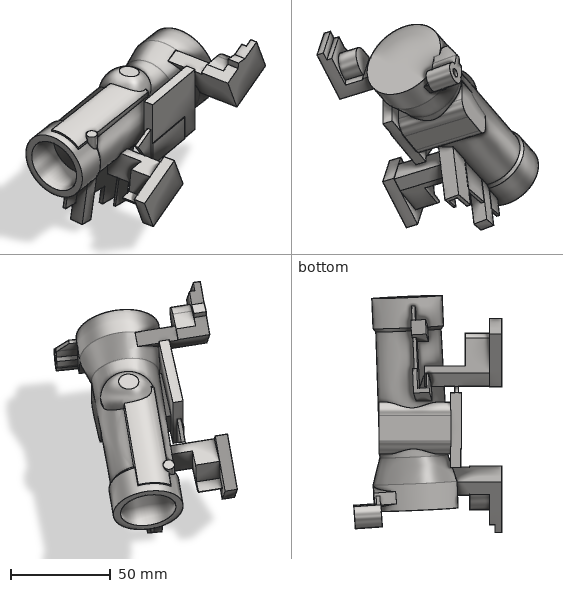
import cadquery as cq

YAW = 2.5
TUBE_RISE = 1.2
LEG_LEAN = 8.0
CLIP_YAW = 4.0

MOUTH_CENTRE = (26.8, 0.8, 44.0)
LEG_ORIGIN = (34.0, 52.8, 27.8)


def side_plane(frame):
    """Plane of a frame whose sketch axes are the frame's Y and Z and whose normal is its X."""
    return cq.Plane(origin=frame.origin, xDir=frame.yDir, normal=frame.xDir)


WORLD = cq.Plane.XY()
TUBE = cq.Plane.XY(MOUTH_CENTRE).rotated((TUBE_RISE, 0, -YAW))
LEGS = cq.Plane.XY(LEG_ORIGIN).rotated((-LEG_LEAN, YAW, -YAW))


def side_profile(points, x_start, x_end, frame=WORLD):
    """Prism with a (y, z) outline, running from x_start to x_end."""
    outline = cq.Workplane(side_plane(frame)).workplane(offset=x_start).polyline(points).close()
    return outline.extrude(x_end - x_start)


def block(x_range, y_range, z_range, frame=WORLD):
    """Box between the given limits of a frame."""
    (y0, y1), (z0, z1) = y_range, z_range
    return side_profile([(y0, z0), (y1, z0), (y1, z1), (y0, z1)], *x_range, frame)


RIM_RADIUS = 17.8
RIM_LENGTH = 15.1
RIM_BEVEL_END = 16.8
BARREL_FRONT_RADIUS = 16.5
BARREL_REAR_RADIUS = 17.2
BARREL_END = 80.1
BELL_START = 93.4
BELL_RADIUS = 21.1
TUBE_LENGTH = 106.9

BORE_RADIUS = 14.0
BORE_DEPTH = 18.1
BORE_TIP_DEPTH = 22.0


def tube_body():
    """Stepped round body: rim, tapered barrel, flare and rear bell."""
    return (
        cq.Workplane(TUBE)
        .polyline([
            (0, 0),
            (RIM_RADIUS, 0),
            (RIM_RADIUS, RIM_LENGTH),
            (BARREL_FRONT_RADIUS, RIM_BEVEL_END),
            (BARREL_REAR_RADIUS, BARREL_END),
            (BELL_RADIUS, BELL_START),
            (BELL_RADIUS, TUBE_LENGTH),
            (0, TUBE_LENGTH),
        ])
        .close()
        .revolve(360, (0, 0, 0), (0, 1, 0))
    )


def mouth_bore():
    """Blind bore in the mouth, ending in a shallow cone."""
    return (
        cq.Workplane(TUBE)
        .polyline([(0, 0), (BORE_RADIUS, 0), (BORE_RADIUS, BORE_DEPTH), (0, BORE_TIP_DEPTH)])
        .close()
        .revolve(360, (0, 0, 0), (0, 1, 0))
    )


STRIP_RADIUS = 18.7
STRIP_X = (-4.3, 12.2)
STRIP_Y = (4.3, 62.9)
STRIP_FLARE = 4.5

DOME_TOP = (29.0, 64.5, 66.0)
DOME_RADIUS = 13.9
DOME_CUT_HEIGHT = 13.0

PIN_CENTRE = (40.0, 14.9)
PIN_RADIUS = 2.9
PIN_TOP = 60.8
PIN_DEPTH = 9.5


def strip():
    """Raised strip along the top of the tube, curved around the tube axis."""
    length = STRIP_Y[1] - STRIP_Y[0]
    x_left, x_right = STRIP_X
    cross_plane = cq.Plane(origin=TUBE.origin, xDir=TUBE.xDir, normal=-TUBE.yDir)
    start = cq.Workplane(cross_plane).workplane(offset=-STRIP_Y[0])
    sector = [(x_left - STRIP_FLARE, 0), (x_right, 0), (x_right, STRIP_RADIUS), (x_left, STRIP_RADIUS)]
    round_bar = start.circle(STRIP_RADIUS).extrude(-length)
    return round_bar.intersect(start.polyline(sector).close().extrude(-length))


def dome():
    """Ball on top of the tube, cut off flat along the leaning axis."""
    frame = cq.Plane.XY(DOME_TOP).rotated((-LEG_LEAN, YAW, 0))
    ball = cq.Workplane(frame).workplane(offset=-DOME_CUT_HEIGHT).sphere(DOME_RADIUS)
    half = (-DOME_RADIUS, DOME_RADIUS)
    return ball.intersect(block(half, half, (-DOME_CUT_HEIGHT, 0), frame))


def pin():
    """Short round pin standing beside the strip."""
    return (
        cq.Workplane("XY", origin=(*PIN_CENTRE, PIN_TOP))
        .circle(PIN_RADIUS)
        .extrude(-PIN_DEPTH)
    )


SADDLE_X = (12.7, 48.8)
SADDLE_Y = (53.6, 79.7)
SADDLE_Z = (27.0, 45.4)
SADDLE_CORNER = 6.7

FIN_X = (48.6, 53.9)
FIN_Y = (48.8, 86.5)
FIN_Z = (27.6, 64.5)
FIN_FOOT_X = 54.2
FIN_FOOT_END = 77.1
FIN_FOOT_TOP = 40.9

BLADE_X = (50.8, 52.8)
BLADE_TIP = 37.6
BLADE_TOP = 48.8
BLADE_NOSE_TOP = 44.3


def saddle():
    """Block under the tube with rounded lower corners."""
    return block(SADDLE_X, SADDLE_Y, SADDLE_Z).edges("|X and <Z").fillet(SADDLE_CORNER)


def fin():
    """Upright plate beside the tube with a slightly wider foot."""
    plate = block(FIN_X, FIN_Y, FIN_Z)
    foot = block((FIN_X[0], FIN_FOOT_X), (FIN_Y[0], FIN_FOOT_END), (FIN_Z[0], FIN_FOOT_TOP))
    return plate.union(foot)


def blade():
    """Thin sloping blade on the front edge of the fin."""
    root = FIN_Y[0]
    return side_profile(
        [(root, BLADE_TOP), (BLADE_TIP, BLADE_NOSE_TOP), (root, FIN_Z[0])], *BLADE_X
    )


FLANGE_TILT = 22.5
FLANGE_X = (68.1, 74.5)

UPPER_CORNER = (111.2, 75.2)
UPPER_LENGTH = 27.6
UPPER_HEIGHT = 20.8
UPPER_STEP_X = 70.9
UPPER_STEP = 4.3
BUMP = [
    (101.0, 70.9), (95.1, 71.5), (94.7, 68.3), (97.7, 66.7),
]
UPPER_PAD_X = 58.3
PAD_RADIUS = 7.9
PAD_CENTRE = (99.8, 58.9)
UPPER_ARM_X = 37.6
UPPER_ARM_LENGTH = 7.4
UPPER_ARM_DROP = 1.3

LOWER_CORNER = (38.1, 44.7)
LOWER_LENGTH = 28.7
LOWER_HEIGHT = 20.3
LOWER_PAD_X = 56.0
LOWER_TOP = 38.5
LOWER_BOTTOM = 22.8
LOWER_ARM_X = 35.7
LOWER_ARM_FRONT = 35.4
LOWER_ARM = [
    (LOWER_ARM_FRONT, LOWER_TOP), (40.6, LOWER_TOP), (45.6, 25.6),
    (39.0, LOWER_BOTTOM), (LOWER_ARM_FRONT, LOWER_BOTTOM),
]
LOWER_PAD = [
    (LOWER_ARM_FRONT, LOWER_TOP), (26.7, LOWER_TOP), (24.7, 26.3), (18.8, 25.9),
    (19.1, 25.0), (21.5, LOWER_BOTTOM), (LOWER_ARM_FRONT, LOWER_BOTTOM),
]


def tilted_block(corner, x_range, y_range, z_range):
    """Tilted box; its y and z limits are measured from the rear top corner of a flange."""
    frame = cq.Plane.XY((0, *corner)).rotated((FLANGE_TILT, 0, 0))
    return block(x_range, y_range, z_range, frame)


def upper_bracket():
    """Rear flange with its stepped end, bump, round pad and arm to the tube."""
    x_face, x_back = FLANGE_X
    y_front = -UPPER_LENGTH
    z_range = (-UPPER_HEIGHT, 0)
    plate = tilted_block(UPPER_CORNER, FLANGE_X, (y_front, -UPPER_STEP), z_range)
    outer = tilted_block(UPPER_CORNER, (UPPER_STEP_X, x_back), (y_front, 0), z_range)
    bump = side_profile(BUMP, *FLANGE_X)

    pad_x = (UPPER_PAD_X, x_face)
    pad_y, pad_z = PAD_CENTRE
    pad_round = (
        cq.Workplane("YZ", origin=(UPPER_PAD_X, pad_y, pad_z))
        .circle(PAD_RADIUS)
        .extrude(x_face - UPPER_PAD_X)
    )
    pad_limits = block(pad_x, (FIN_Y[0], pad_y), (0, pad_z + PAD_RADIUS))
    pad_front = tilted_block(UPPER_CORNER, pad_x, (y_front, 0), z_range).intersect(pad_limits)

    arm = tilted_block(
        UPPER_CORNER,
        (UPPER_ARM_X, UPPER_PAD_X),
        (y_front, y_front + UPPER_ARM_LENGTH),
        (-UPPER_HEIGHT, -UPPER_ARM_DROP),
    )
    return plate.union(outer).union(bump).union(pad_round).union(pad_front).union(arm)


def lower_bracket():
    """Front flange with its pad and the arm reaching under the tube."""
    plate = tilted_block(LOWER_CORNER, FLANGE_X, (-LOWER_LENGTH, 0), (-LOWER_HEIGHT, 0))
    arm = side_profile(LOWER_ARM, LOWER_ARM_X, FLANGE_X[0])
    pad = side_profile(LOWER_PAD, LOWER_PAD_X, FLANGE_X[0])
    return plate.union(arm).union(pad)


LEG_BOTTOM = -27.9
LEG_TOP = 9.5
REAR_LEG_X = (-2.6, 5.4)
REAR_LEG_Y = (-12.4, 0)
REAR_SLOT_X = (-0.5, 4.2)
REAR_SLOT_BACK = -2.4
REAR_RIGHT_WALL_FRONT = -9.4
FRONT_LEG_X = (-2.4, 5.0)
FRONT_LEG_Y = (-36.9, -29.5)
WEB_BOTTOM = -17.6
WEB_FRONT = -45.5
WEB_X = (-2.1, -0.5)


def legs():
    """Channel-shaped rear leg and solid front leg joined by a thin web."""
    z_leg = (LEG_BOTTOM, LEG_TOP)
    rear = block(REAR_LEG_X, REAR_LEG_Y, z_leg, LEGS)
    z_slot = (LEG_BOTTOM, 0)
    slot = block(REAR_SLOT_X, (REAR_LEG_Y[0], REAR_SLOT_BACK), z_slot, LEGS)
    right_step = block(
        (REAR_SLOT_X[1], REAR_LEG_X[1]), (REAR_LEG_Y[0], REAR_RIGHT_WALL_FRONT), z_slot, LEGS
    )
    rear = rear.cut(slot).cut(right_step)
    front = block(FRONT_LEG_X, FRONT_LEG_Y, z_leg, LEGS)
    web = block(WEB_X, (WEB_FRONT, REAR_LEG_Y[0]), (WEB_BOTTOM, LEG_TOP), LEGS)
    return rear.union(front).union(web)


EYE_CENTRE = (111.6, 24.2)
EYE_RADIUS = 5.6
EYE_HOLE_RADIUS = 2.1
CLIP_X = 0.5
CLIP_LENGTH = 13.7
CLIP_PLATE = [
    (0.4, 5.5), (-1.1, 12.0), (-3.5, 21.9), (-5.5, 21.7), (-3.7, 13.3),
    (-4.2, 8.6), (-6.3, 7.9), (-6.2, 2.9), (-5.4, 0.0), (0.0, 0.0),
]
CLIP_SLANT = [(0, 12.4), (6.3, 21.9), (0, 21.9)]
GUSSET_X = (10.6, 23.8)
GUSSET = [
    (-15.6, 21.2), (-11.7, 3.2), (-5.5, 3.2), (-4.3, 11.5), (-5.6, 21.2),
]
LUG_X = (11.5, 13.5)
LUG_Y = (-10.1, -4.8)
LUG_Z = (0.8, 4.4)


def hinge_clip():
    """Upright clip plate with a hinge eye, tied to the bell by a gusset and a lug."""
    frame = cq.Plane.XY((CLIP_X, *EYE_CENTRE)).rotated((0, 0, -CLIP_YAW))
    clip = side_profile(CLIP_PLATE, 0, CLIP_LENGTH, frame)
    eye = cq.Workplane(side_plane(frame)).circle(EYE_RADIUS).extrude(CLIP_LENGTH)
    hole = cq.Workplane(side_plane(frame)).circle(EYE_HOLE_RADIUS).extrude(CLIP_LENGTH)
    slant_plane = cq.Plane(origin=frame.origin, xDir=frame.xDir, normal=-frame.yDir)
    slant = cq.Workplane(slant_plane).polyline(CLIP_SLANT).close().extrude(2 * EYE_RADIUS, both=True)
    gusset = side_profile(GUSSET, *GUSSET_X, frame)
    lug = block(LUG_X, LUG_Y, LUG_Z, frame)
    return clip.cut(slant).union(eye).cut(hole).union(gusset).union(lug)


result = tube_body()
for feature in (
    strip(), dome(), pin(), saddle(), fin(), blade(),
    upper_bracket(), lower_bracket(), legs(), hinge_clip(),
):
    result = result.union(feature)
result = result.cut(mouth_bore())